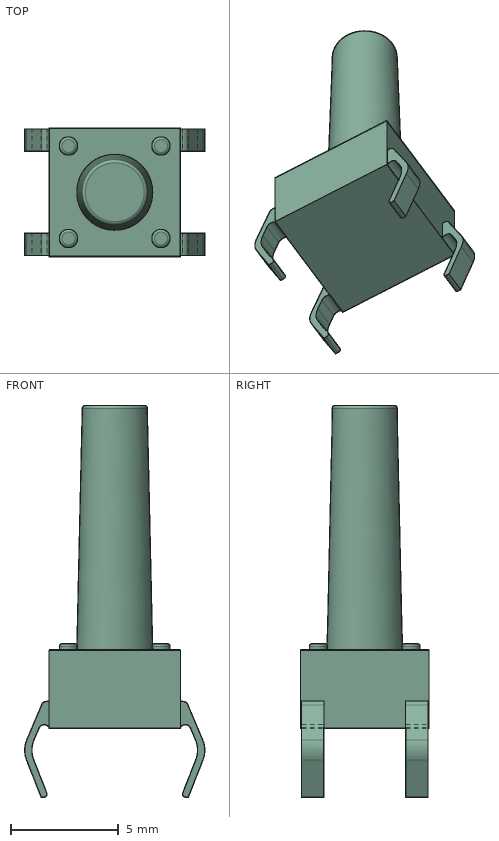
import cadquery as cq
import math

total_height = 18.18
leg_span = 8.36

body_length = 6.1
body_width = 5.98
body_bottom = 3.2
body_top = 6.85
body_edge_chamfer = 0.04

button_base_diameter = 3.53
button_top_diameter = 3.02
button_edge_radius = 0.15

stud_diameter = 0.85
stud_height = 0.27
stud_pitch = 4.29
stud_edge_radius = 0.13

leg_width = 1.04
leg_pitch = 4.84
leg_thickness_x = 0.35
leg_tip_radius = 0.15
leg_top = 4.45
upper_slope = math.radians(23)
lower_slope = math.radians(21.5)
leg_shoulder_radius = 0.27
bend_height = 2.18
bend_radius = 1.24
armpit_radius = 0.25
armpit_x = 3.27
leg_embed = 0.18


def make_body():
    """Rectangular block with its top edges broken."""
    return (
        cq.Workplane("XY", origin=(0, 0, body_bottom))
        .rect(body_length, body_width)
        .extrude(body_top - body_bottom)
        .faces(">Z")
        .chamfer(body_edge_chamfer)
    )


def make_button():
    """Round button tapering from the body top to the full height."""
    cone = cq.Solid.makeCone(
        button_base_diameter / 2,
        button_top_diameter / 2,
        total_height - body_top,
        cq.Vector(0, 0, body_top),
    )
    return cq.Workplane(cone).faces(">Z").edges().fillet(button_edge_radius)


def make_studs():
    """Four short round studs near the corners of the body top."""
    return (
        cq.Workplane("XY", origin=(0, 0, body_top))
        .rect(stud_pitch, stud_pitch, forConstruction=True)
        .vertices()
        .circle(stud_diameter / 2)
        .extrude(stud_height)
        .faces(">Z")
        .edges()
        .fillet(stud_edge_radius)
    )


def make_leg(center_y):
    """Leg on the +X side: a sloped strip, a round bend, and a strip sloping back in."""
    upper_cos = math.cos(upper_slope)
    upper_sin = math.sin(upper_slope)
    upper_tan = math.tan(upper_slope)
    bend_x = leg_span / 2 - bend_radius

    def on_bend(angle):
        return (bend_x + bend_radius * math.cos(angle), bend_height + bend_radius * math.sin(angle))

    def inward(point):
        return (point[0] - leg_thickness_x, point[1])

    outer_upper = on_bend(upper_slope)
    outer_middle = on_bend(0)
    outer_lower = on_bend(-lower_slope)
    inner_upper = inward(outer_upper)

    tip_outer = (outer_lower[0] - outer_lower[1] * math.tan(lower_slope), 0)
    tip_inner = inward(tip_outer)

    shoulder_corner_x = outer_upper[0] - (leg_top - outer_upper[1]) * upper_tan
    shoulder_setback = leg_shoulder_radius * math.tan((math.pi / 2 - upper_slope) / 2)
    shoulder_start = (shoulder_corner_x - shoulder_setback, leg_top)
    shoulder_end = (
        shoulder_corner_x + shoulder_setback * upper_sin,
        leg_top - shoulder_setback * upper_cos,
    )
    shoulder_mid_angle = (math.pi / 2 + upper_slope) / 2
    shoulder_mid = (
        shoulder_start[0] + leg_shoulder_radius * math.cos(shoulder_mid_angle),
        leg_top - leg_shoulder_radius * (1 - math.sin(shoulder_mid_angle)),
    )

    tangent_x = armpit_x + armpit_radius * upper_cos
    tangent_z = inner_upper[1] + (inner_upper[0] - tangent_x) / upper_tan
    armpit_z = tangent_z - armpit_radius * upper_sin
    body_side = body_length / 2
    armpit_end_z = armpit_z + math.sqrt(armpit_radius**2 - (armpit_x - body_side) ** 2)
    embed_x = body_side - leg_embed

    leg = (
        cq.Workplane("XZ", origin=(0, center_y, 0))
        .moveTo(embed_x, leg_top)
        .lineTo(*shoulder_start)
        .threePointArc(shoulder_mid, shoulder_end)
        .lineTo(*outer_upper)
        .threePointArc(outer_middle, outer_lower)
        .lineTo(*tip_outer)
        .lineTo(*tip_inner)
        .lineTo(*inward(outer_lower))
        .threePointArc(inward(outer_middle), inner_upper)
        .lineTo(tangent_x, tangent_z)
        .threePointArc((armpit_x, armpit_z + armpit_radius), (body_side, armpit_end_z))
        .lineTo(embed_x, armpit_end_z)
        .close()
        .extrude(leg_width / 2, both=True)
    )
    tip_inner_edge = cq.NearestToPointSelector((tip_inner[0], center_y, tip_inner[1]))
    return leg.edges("|Y").edges(tip_inner_edge).fillet(leg_tip_radius)


result = make_body().union(make_button()).union(make_studs())
for side_y in (-1, 1):
    leg = make_leg(side_y * leg_pitch / 2)
    result = result.union(leg).union(leg.mirror("YZ"))